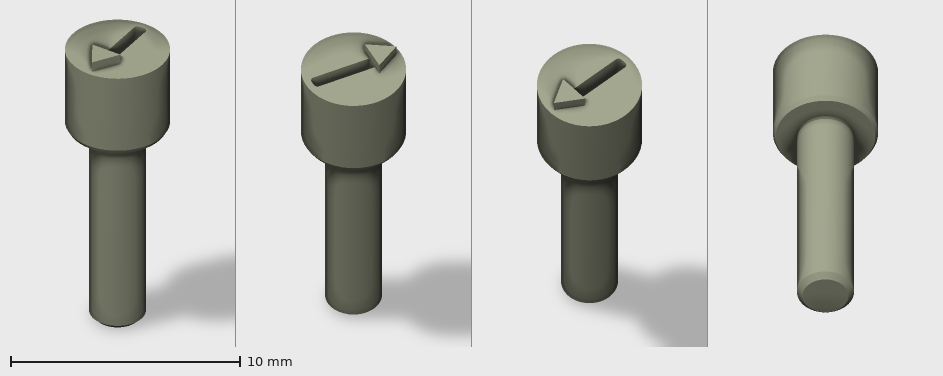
import cadquery as cq
import math

total_height = 14.5
shank_length = 9.99
pointer_height = 0.5
face_height = total_height - pointer_height

shank_radius = 2.5 / 2
tip_chamfer = 0.25
relief_height = 0.17
relief_depth = 0.06

head_radius = 4.6 / 2
head_bevel_height = 0.22
head_bevel_angle = 30.0
head_bevel_width = head_bevel_height * math.tan(math.radians(head_bevel_angle))

pointer_width = 1.45
pointer_base_y = -0.9
pointer_tip_y = -2.09
slot_width = 0.6
slot_end_y = 1.99
slot_depth = 1.5
slot_draft_angle = 3.0
slot_floor_inset = slot_depth * math.tan(math.radians(slot_draft_angle))
slot_corner_radius = 0.17


def make_body():
    """Revolve the shank, the relief groove under the head and the bevelled head."""
    relief_bottom = shank_length - relief_height
    relief_middle = shank_length - relief_height / 2
    head_bevel_top = shank_length + head_bevel_height
    return (
        cq.Workplane("XZ")
        .moveTo(0, 0)
        .lineTo(shank_radius - tip_chamfer, 0)
        .lineTo(shank_radius, tip_chamfer)
        .lineTo(shank_radius, relief_bottom)
        .threePointArc((shank_radius - relief_depth, relief_middle), (shank_radius, shank_length))
        .lineTo(head_radius - head_bevel_width, shank_length)
        .lineTo(head_radius, head_bevel_top)
        .lineTo(head_radius, face_height)
        .lineTo(0, face_height)
        .close()
        .revolve(360, (0, 0, 0), (0, 1, 0))
    )


def slot_section(workplane, inset):
    """Draw the slot outline, moved inwards by inset, with its far corners rounded."""
    half_width = slot_width / 2 - inset
    near_y = pointer_base_y + inset
    far_y = slot_end_y - inset
    radius = slot_corner_radius - inset
    return (
        workplane.moveTo(-half_width, near_y)
        .lineTo(half_width, near_y)
        .lineTo(half_width, far_y - radius)
        .radiusArc((half_width - radius, far_y), -radius)
        .lineTo(-half_width + radius, far_y)
        .radiusArc((-half_width, far_y - radius), -radius)
        .close()
    )


def make_slot():
    """Cutter for the arrow shaft, tapering by the draft angle from the head face to the slot floor."""
    top = slot_section(cq.Workplane("XY").workplane(offset=face_height), 0)
    return slot_section(top.workplane(offset=-slot_depth), slot_floor_inset).loft(ruled=True)


def make_pointer():
    """Triangular arrow head standing on the head face and pointing along -Y."""
    corners = [
        (-pointer_width / 2, pointer_base_y),
        (0, pointer_tip_y),
        (pointer_width / 2, pointer_base_y),
    ]
    return cq.Workplane("XY").workplane(offset=face_height).polyline(corners).close().extrude(pointer_height)


result = make_body().cut(make_slot()).union(make_pointer())